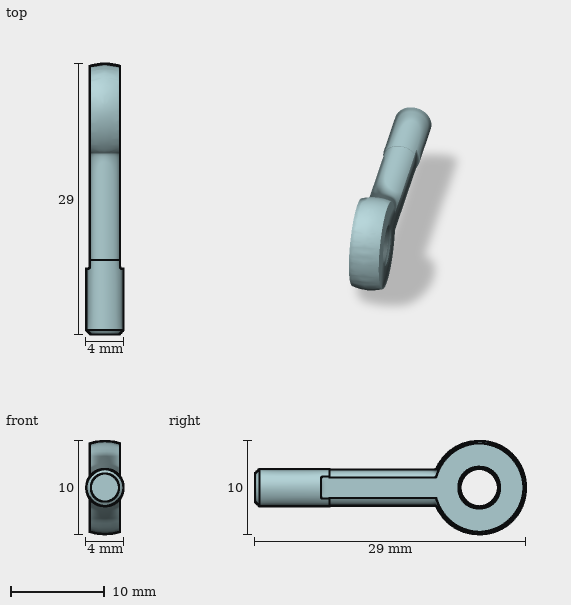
import cadquery as cq

total_length = 29.0
eye_diameter = 10.0
eye_thickness = 3.25
bore_diameter = 4.0
bore_chamfer = 0.23
neck_diameter = 3.92
shank_diameter = 4.0
shank_end_length = 8.0
tip_chamfer = 0.5
round_end_length = 7.08
neck_fillet = 0.17
flat_end_radius = 0.17

eye_radius = eye_diameter / 2
tip_y = eye_radius - total_length
shank_end_y = tip_y + shank_end_length
flat_end_y = tip_y + round_end_length
half_thickness = eye_thickness / 2


def make_eye_and_shank():
    """Ball and neck blended by a small fillet, with the chamfered shank end added."""
    ball = cq.Workplane("XY").sphere(eye_radius)
    neck = cq.Workplane("XZ").circle(neck_diameter / 2).extrude(-shank_end_y)
    shank_end = (
        cq.Workplane("XZ", origin=(0, shank_end_y, 0))
        .circle(shank_diameter / 2)
        .extrude(shank_end_length)
        .faces("<Y")
        .chamfer(tip_chamfer)
    )
    joint_y = -(eye_radius**2 - (neck_diameter / 2) ** 2) ** 0.5
    band = neck_fillet / 2
    joint = cq.selectors.BoxSelector(
        (-eye_radius, joint_y - band, -eye_radius),
        (eye_radius, joint_y + band, eye_radius),
    )
    eye_and_neck = ball.union(neck).edges(joint).fillet(neck_fillet)
    return eye_and_neck.union(shank_end)


def make_flat_cutter(side):
    """Block that trims one side (+1 or -1 in X) flat from the eye to the round end."""
    depth = eye_radius
    length = total_length - round_end_length
    return (
        cq.Workplane("XY")
        .box(depth, length, eye_diameter)
        .faces("<Y")
        .edges("<X" if side > 0 else ">X")
        .fillet(flat_end_radius)
        .translate((side * (half_thickness + depth / 2), flat_end_y + length / 2, 0))
    )


def make_bore_cutter():
    """Through bore along X with a chamfer at both mouths."""
    bore_radius = bore_diameter / 2
    mouth_radius = bore_radius + bore_chamfer
    chamfer_start = half_thickness - bore_chamfer
    return (
        cq.Workplane("XY")
        .moveTo(-half_thickness, 0)
        .lineTo(-half_thickness, mouth_radius)
        .lineTo(-chamfer_start, bore_radius)
        .lineTo(chamfer_start, bore_radius)
        .lineTo(half_thickness, mouth_radius)
        .lineTo(half_thickness, 0)
        .close()
        .revolve(360, (0, 0, 0), (1, 0, 0))
    )


result = make_eye_and_shank()
for side in (-1, 1):
    result = result.cut(make_flat_cutter(side))
result = result.cut(make_bore_cutter())